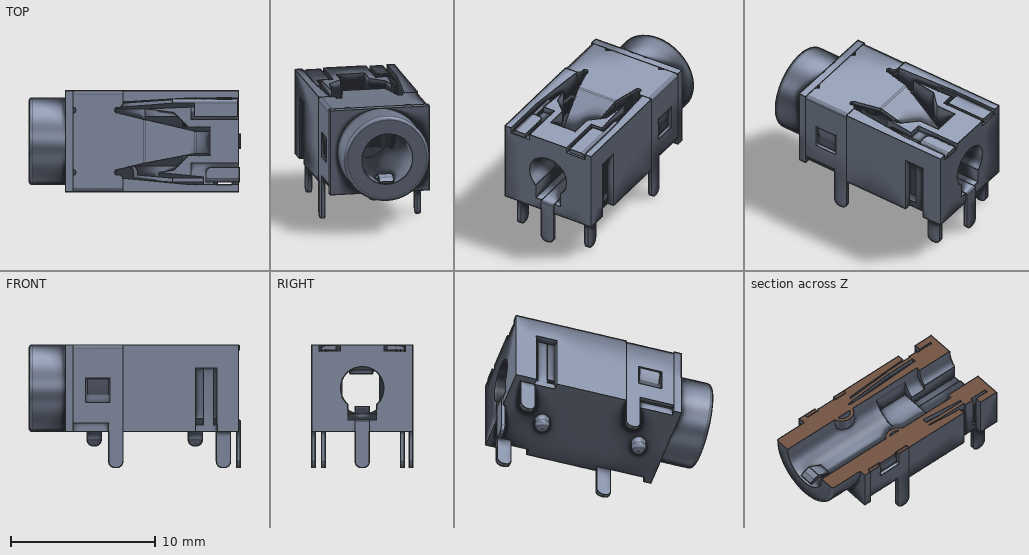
import cadquery as cq
import math

sides = (1, -1)
body_height = 6.0
half_width = 3.5
rear_x = 14.5
axis_z = body_height / 2

barrel_radius = 3.0
barrel_length = 2.5
barrel_edge_radius = 0.22
bore_radius = 1.8
bore_end_x = 11.75
rear_hole_radius = 1.5

shield_thickness = 0.25
shield_front_x = 3.04
shield_rear_x = 6.5
shield_bottom_z = 0.61
shield_bend_radius = 0.22
relief_hole_radius = 0.19
relief_hole_y = 2.15

core_half_width = half_width - shield_thickness
core_top_z = body_height - shield_thickness
skirt_half_width = 3.1

leg_width = 1.0
leg_length = 2.5
leg_end_radius = 0.45
peg_radius = 0.5
peg_length = 1.0
peg_tip_radius = 0.45
peg_positions = (4.5, 11.5)

window_front_x, window_rear_x = 3.91, 5.61
window_bottom_z, window_top_z = 2.0, 3.7
window_corner_radius = 0.1
wedge_front_x, wedge_rear_x = 4.04, 5.48
wedge_bottom_z, wedge_top_z = 2.58, 3.65
wedge_height = 0.2

slot_front_x = 6.0
slot_y = 2.16
slot_half_width = 0.17
slot_inner_y = slot_y - slot_half_width
slot_outer_y = slot_y + slot_half_width
slot_flare_y = 2.56
tongue_bend_x = 8.0
tongue_bend_half_width = 1.51
tongue_low_x = 11.52
tongue_end_x = 12.52
tongue_tail_z = 4.0
tongue_tip_left_y, tongue_tip_right_y = 0.69, -0.84
tongue_bend_radius = 0.3

pocket_opening_y = 1.72
pocket_floor_z = axis_z + math.sqrt(bore_radius**2 - pocket_opening_y**2)
pocket_front_x = {1: 8.02, -1: slot_front_x}
tongue_deck_z = 5.65
cavity_front_x = {1: 8.02, -1: 7.66}
cavity_rear_x = 10.6
island_tip_x = {1: 8.1, -1: 8.98}
island_tip_y = {1: 2.24, -1: 2.16}
pocket_shoulder_x, pocket_shoulder_y = 10.0, 2.0
pocket_neck_x, pocket_neck_y = 11.0, 1.0
shelf_z = 4.0
shelf_inner_y = 1.5

channel_floor_z = 0.47
channel_outer_y = 3.0
channel_front_outer_y = {1: 2.73, -1: slot_flare_y}
channel_straight_x = 11.1
channel_rear_x = 12.07
channel_front_floor_z = {1: channel_floor_z, -1: pocket_floor_z}
channel_rear_inner_y = {1: 2.4, -1: 2.47}

recess_front_x = 11.22
recess_inner_y = 1.5
recess_floor_z = 5.57
leg_slot_front_x, leg_slot_rear_x = 12.76, 14.03
leg_hole_front_x = leg_slot_rear_x - leg_width
wall_slot_front_x, wall_slot_rear_x = 11.53, 13.02
wall_slot_top_z = 4.4

contact_thickness = 0.28
contact_outer_y = {1: 2.92, -1: 2.83}
contact_top_z = 5.95
contact_bottom_z = 0.89
contact_bend_radius = 0.26
plate_bottom_z = 5.65
plate_front_x = {1: 11.44, -1: 12.24}
plate_rear_x = {1: 14.43, -1: 14.56}
plate_inner_y = {1: 1.72, -1: 1.8}
plate_corner_radius = 0.4
side_leg_front_x = 12.95
arm_step_x = 9.93
arm_bottom_z, arm_top_z = 2.19, 4.5
arm_thickness = {1: 0.24, -1: 0.28}
arm_hook_x = {1: 5.72, -1: 7.21}
wall_top_z = {1: contact_top_z, -1: 5.7}
arm_front_inner_y = 2.34
nose_y = {1: 1.2, -1: 1.39}
nose_base_y = 2.05
nose_half_length = 0.88

barrel_contact_width = 1.0
barrel_contact_thickness = 0.25
barrel_contact_rear_x = 14.62
barrel_contact_run_z = 0.8
barrel_contact_bend_radius = 0.1
barrel_run_front_x = 2.8
barrel_run_underside_x = 2.75
barrel_nose_top = [(0.12, 1.37), (0.44, 1.6), (0.85, 1.74), (1.9, 1.2)]
barrel_nose_underside = [(1.8, 0.97), (0.83, 1.47), (0.58, 1.38), (0.22, 1.21)]


def box(x0, x1, y0, y1, z0, z1):
    """Axis-aligned block between two corners."""
    return cq.Workplane("XY").box(x1 - x0, y1 - y0, z1 - z0, centered=False).translate((x0, y0, z0))


def mid_box(x0, x1, half_y, z0, z1):
    """Block centred on the mid-plane."""
    return box(x0, x1, -half_y, half_y, z0, z1)


def side_box(side, x0, x1, d0, d1, z0, z1):
    """Block at distances d0 to d1 from the mid-plane on one side."""
    low, high = sorted((side * d0, side * d1))
    return box(x0, x1, low, high, z0, z1)


def plan_prism(points, z0, z1, side=1):
    """Upright prism over a plan outline given as (x, distance) points."""
    outline = [(x, side * d) for x, d in points]
    return cq.Workplane("XY").workplane(offset=z0).polyline(outline).close().extrude(z1 - z0)


def axial_cylinder(radius, x0, x1):
    """Cylinder along the plug axis."""
    return cq.Workplane("YZ", origin=(x0, 0, axis_z)).circle(radius).extrude(x1 - x0)


def outer_top_edge(side):
    """Selector of the long upper edge on the outer face of a side part."""
    return "|X and >Z and " + (">Y" if side > 0 else "<Y")


def side_leg(side, front_x, outer_d, thickness, top_z):
    """Solder leg in an XZ plane with a rounded end."""
    leg = side_box(side, front_x, front_x + leg_width, outer_d - thickness, outer_d, -leg_length, top_z)
    return leg.edges("|Y and <Z").fillet(leg_end_radius)


def make_barrel_contact():
    """Bent strip: nose raised into the barrel, run under the bore, leg down the rear face."""
    inner_rear_x = barrel_contact_rear_x - barrel_contact_thickness
    run_bottom_z = barrel_contact_run_z - barrel_contact_thickness
    run_front = [(barrel_run_front_x, barrel_contact_run_z)]
    run_underside_front = [(barrel_run_underside_x, run_bottom_z)]
    leg = [
        (barrel_contact_rear_x, barrel_contact_run_z),
        (barrel_contact_rear_x, -leg_length),
        (inner_rear_x, -leg_length),
        (inner_rear_x, run_bottom_z),
    ]
    outline = barrel_nose_top + run_front + leg + run_underside_front + barrel_nose_underside
    strip = cq.Workplane("XZ").polyline(outline).close().extrude(barrel_contact_width / 2, both=True)
    strip = strip.edges("|X and <Z").fillet(leg_end_radius)
    bend = cq.selectors.NearestToPointSelector((barrel_contact_rear_x, 0, barrel_contact_run_z))
    return strip.edges("|Y").edges(bend).fillet(barrel_contact_bend_radius)


def make_tongue():
    """Tapered tongue: level root, slope down into the pocket, level tail."""
    drop = body_height - tongue_tail_z - shield_thickness
    miter = shield_thickness * math.tan(math.atan2(drop, tongue_low_x - tongue_bend_x) / 2)
    profile = [
        (slot_front_x, body_height),
        (tongue_bend_x, body_height),
        (tongue_low_x, tongue_tail_z + shield_thickness),
        (tongue_end_x, tongue_tail_z + shield_thickness),
        (tongue_end_x, tongue_tail_z),
        (tongue_low_x - miter, tongue_tail_z),
        (tongue_bend_x - miter, body_height - shield_thickness),
        (slot_front_x, body_height - shield_thickness),
    ]
    plan = [
        (slot_front_x, slot_inner_y),
        (tongue_bend_x, tongue_bend_half_width),
        (tongue_low_x, tongue_tip_left_y),
        (tongue_end_x, tongue_tip_left_y),
        (tongue_end_x, tongue_tip_right_y),
        (tongue_low_x, tongue_tip_right_y),
        (tongue_bend_x, -tongue_bend_half_width),
        (slot_front_x, -slot_inner_y),
    ]
    strip = cq.Workplane("XZ").polyline(profile).close().extrude(half_width, both=True)
    for x, z in (profile[1], profile[2]):
        bend = cq.selectors.NearestToPointSelector((x, 0, z))
        strip = strip.edges("|Y").edges(bend).fillet(tongue_bend_radius)
    return strip.intersect(plan_prism(plan, 0, body_height))


def tongue_slots():
    """Opening around the tongue root, with a round slot end on each side."""
    opening = plan_prism(
        [
            (slot_front_x, slot_outer_y),
            (shield_rear_x - slot_half_width, slot_outer_y),
            (shield_rear_x, slot_flare_y),
            (shield_rear_x, -slot_flare_y),
            (shield_rear_x - slot_half_width, -slot_outer_y),
            (slot_front_x, -slot_outer_y),
        ],
        core_top_z,
        body_height,
    )
    slot_ends = [(slot_front_x + slot_half_width / 2, side * slot_y) for side in sides]
    ends = cq.Workplane("XY").workplane(offset=core_top_z).pushPoints(slot_ends)
    return opening.union(ends.circle(slot_half_width).extrude(shield_thickness))


def make_shield():
    shell = mid_box(shield_front_x, shield_rear_x, half_width, shield_bottom_z, body_height)
    shell = shell.edges("|X and >Z").fillet(shield_bend_radius)
    shell = shell.cut(mid_box(shield_front_x, shield_rear_x, core_half_width, 0, core_top_z))
    window = mid_box(window_front_x, window_rear_x, half_width, window_bottom_z, window_top_z)
    shell = shell.cut(window.edges("|Y and <Z").fillet(window_corner_radius))
    relief_holes = (
        cq.Workplane("XY").workplane(offset=core_top_z)
        .pushPoints([(shield_front_x, side * relief_hole_y) for side in sides])
        .circle(relief_hole_radius).extrude(shield_thickness)
    )
    shell = shell.cut(relief_holes).cut(tongue_slots()).union(make_tongue())
    for side in sides:
        leg_top_z = (shield_bottom_z + window_bottom_z) / 2
        leg = side_leg(side, shield_rear_x - leg_width, half_width, shield_thickness, leg_top_z)
        shell = shell.union(leg)
    return shell


def spring_arm(side):
    """Upright strip in the channel whose front end hooks inward to a round nose at the bore."""
    rear_inner_y = contact_outer_y[side] - contact_thickness
    hook_x = arm_hook_x[side]
    hook_inner_x = hook_x + contact_thickness
    nose_x = hook_inner_x - nose_half_length
    nose_front_x = nose_x - nose_half_length
    arm = (
        cq.Workplane("XY").workplane(offset=arm_bottom_z)
        .moveTo(arm_step_x, rear_inner_y + arm_thickness[side])
        .lineTo(hook_x, arm_front_inner_y + arm_thickness[side])
        .lineTo(hook_x, nose_base_y)
        .threePointArc((nose_x, nose_y[side] + contact_thickness),
                       (nose_front_x + contact_thickness, nose_base_y))
        .lineTo(nose_front_x, nose_base_y)
        .threePointArc((nose_x, nose_y[side]), (hook_inner_x, nose_base_y))
        .lineTo(hook_inner_x, arm_front_inner_y)
        .lineTo(arm_step_x, rear_inner_y)
        .close()
        .extrude(arm_top_z - arm_bottom_z)
    )
    return arm if side > 0 else arm.mirror("XZ")


def contact_plate(side):
    """Level plate above the recess, bent down along its outer edge."""
    plate = side_box(side, plate_front_x[side], plate_rear_x[side], plate_inner_y[side],
                     contact_outer_y[side], plate_bottom_z, contact_top_z)
    if side < 0:
        plate = plate.edges("|Z and <X and >Y").fillet(plate_corner_radius)
    return plate.edges(outer_top_edge(side)).fillet(contact_bend_radius)


def side_contact(side):
    outer_y = contact_outer_y[side]
    inner_y = outer_y - contact_thickness
    wall = side_box(side, arm_step_x, channel_rear_x, inner_y, outer_y, contact_bottom_z, wall_top_z[side])
    if side > 0:
        wall = wall.edges(outer_top_edge(side)).fillet(contact_bend_radius)
    post = side_box(side, leg_slot_front_x, leg_slot_rear_x, inner_y, outer_y,
                    contact_bottom_z, plate_bottom_z)
    leg = side_leg(side, side_leg_front_x, outer_y, contact_thickness, axis_z)
    return spring_arm(side).union(wall).union(contact_plate(side)).union(post).union(leg)


def housing_block():
    barrel = axial_cylinder(barrel_radius, 0, barrel_length)
    barrel = barrel.faces("<X").edges().fillet(barrel_edge_radius)
    flange = mid_box(barrel_length, shield_front_x, half_width, 0, body_height)
    skirt = mid_box(shield_front_x, shield_rear_x, skirt_half_width, 0, shield_bottom_z)
    core = mid_box(shield_front_x, shield_rear_x, core_half_width, shield_bottom_z, core_top_z)
    rear_block = mid_box(shield_rear_x, rear_x, half_width, 0, body_height)
    return barrel.union(flange).union(skirt).union(core).union(rear_block)


def bore():
    """Plug bore, smaller rear hole and the slot above the run of the barrel contact."""
    plug_bore = axial_cylinder(bore_radius, 0, bore_end_x)
    rear_hole = axial_cylinder(rear_hole_radius, bore_end_x, rear_x)
    rear_slot = mid_box(cavity_rear_x, rear_x, pocket_neck_y, barrel_contact_run_z, axis_z)
    return plug_bore.union(rear_hole).union(rear_slot)


def tongue_pocket(side):
    """Half of the pocket below the tongue, narrowing to the rear, with a flat cavity in its floor."""
    front_x = pocket_front_x[side]
    outline = [
        (front_x, 0),
        (front_x, island_tip_y[side]),
        (island_tip_x[side], island_tip_y[side]),
        (pocket_shoulder_x, pocket_shoulder_y),
        (pocket_neck_x, pocket_neck_y),
        (tongue_end_x, pocket_neck_y),
        (tongue_end_x, 0),
    ]
    pocket = plan_prism(outline, pocket_floor_z, body_height, side)
    cavity = side_box(side, cavity_front_x[side], cavity_rear_x, 0, pocket_opening_y,
                      axis_z - bore_radius, pocket_floor_z)
    return pocket.union(cavity)


def tongue_deck():
    """Clearance under the tongue root, with a lower shelf in front of the shorter pocket half."""
    front_x, end_x = slot_front_x, pocket_front_x[1]
    deck = mid_box(front_x, end_x, slot_inner_y, tongue_deck_z, body_height)
    return deck.union(box(front_x, end_x, shelf_inner_y, island_tip_y[1], shelf_z, body_height))


def spring_channel(side):
    """Flared channel along the side wall; its floor may be higher in front of the island tip."""
    tip_x, tip_y = island_tip_x[side], island_tip_y[side]
    outline = [
        (slot_front_x, tip_y),
        (tip_x, tip_y),
        (channel_rear_x, channel_rear_inner_y[side]),
        (channel_rear_x, channel_outer_y),
        (channel_straight_x, channel_outer_y),
        (shield_rear_x, channel_front_outer_y[side]),
        (shield_rear_x - slot_half_width, slot_outer_y),
        (slot_front_x, slot_outer_y),
    ]
    front = mid_box(slot_front_x, tip_x, half_width, channel_front_floor_z[side], body_height)
    rear = mid_box(tip_x, channel_rear_x, half_width, channel_floor_z, body_height)
    return plan_prism(outline, channel_floor_z, body_height, side).intersect(front.union(rear))


def contact_openings(side):
    """Plate recess, slot and floor hole of the leg, and the slot through the side wall."""
    slot_inner_y = contact_outer_y[side] - contact_thickness
    recess = side_box(side, recess_front_x, rear_x, recess_inner_y, channel_outer_y,
                      recess_floor_z, body_height)
    leg_slot = side_box(side, leg_slot_front_x, leg_slot_rear_x, slot_inner_y, channel_outer_y,
                        channel_floor_z, body_height)
    leg_hole = side_box(side, leg_hole_front_x, leg_slot_rear_x, slot_inner_y, channel_outer_y,
                        0, channel_floor_z)
    wall_slot = side_box(side, wall_slot_front_x, wall_slot_rear_x, channel_outer_y, half_width,
                         0, wall_slot_top_z)
    return recess.union(leg_slot).union(leg_hole).union(wall_slot)


def latch_wedge(side):
    """Ramp on the core that stands proud at its upper edge."""
    base_y = side * core_half_width
    profile = [
        (base_y, wedge_bottom_z),
        (base_y + side * wedge_height, wedge_top_z),
        (base_y, wedge_top_z),
    ]
    plane = cq.Workplane("YZ", origin=(wedge_front_x, 0, 0))
    return plane.polyline(profile).close().extrude(wedge_rear_x - wedge_front_x)


def locating_peg(x):
    peg = cq.Workplane("XY", origin=(x, 0, 0)).circle(peg_radius).extrude(-peg_length)
    return peg.faces("<Z").edges().fillet(peg_tip_radius)


def make_housing(barrel_contact):
    """Housing with its side contacts, recessed around the barrel contact."""
    body = housing_block().cut(bore()).cut(tongue_deck())
    for side in sides:
        body = body.cut(tongue_pocket(side)).cut(spring_channel(side)).cut(contact_openings(side))
    for side in sides:
        body = body.union(latch_wedge(side)).union(side_contact(side))
    for x in peg_positions:
        body = body.union(locating_peg(x))
    return body.cut(barrel_contact)


barrel_contact = make_barrel_contact()
shield = make_shield()
housing = make_housing(barrel_contact)
result = cq.Compound.makeCompound([
    *housing.solids().vals(),
    *shield.solids().vals(),
    *barrel_contact.solids().vals(),
])